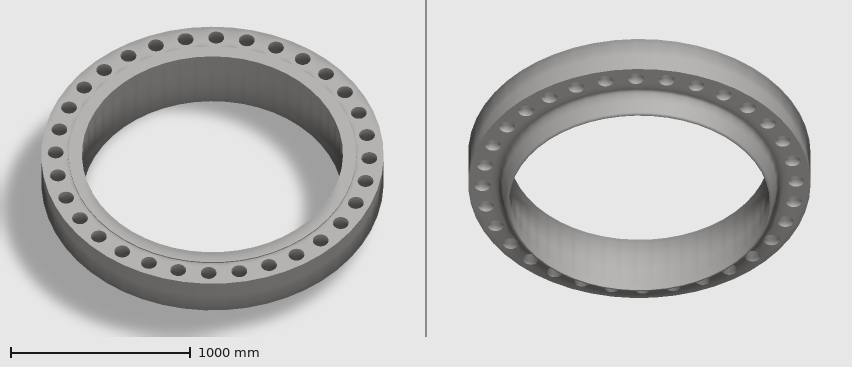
import cadquery as cq

flange_diameter = 1905.0
total_height = 377.0
bore_diameter = 1452.0

face_diameter = 1600.0
face_height = 8.0
flange_thickness = 225.0

hub_top_diameter = 1550.0
hub_bottom_diameter = 1478.0
hub_fillet = 13.0

bolt_count = 32
bolt_circle_diameter = 1745.0
bolt_hole_diameter = 88.0

flange_top = total_height - face_height
flange_bottom = flange_top - flange_thickness


def revolved_body():
    """Hub, flange and raised face as one ring around Z, with its base at Z = 0."""
    bore_radius = bore_diameter / 2
    flange_radius = flange_diameter / 2
    face_radius = face_diameter / 2
    profile = (
        cq.Workplane("XZ")
        .moveTo(bore_radius, 0)
        .lineTo(hub_bottom_diameter / 2, 0)
        .lineTo(hub_top_diameter / 2, flange_bottom)
        .lineTo(flange_radius, flange_bottom)
        .lineTo(flange_radius, flange_top)
        .lineTo(face_radius, flange_top)
        .lineTo(face_radius, total_height)
        .lineTo(bore_radius, total_height)
        .close()
    )
    return profile.revolve(360, (0, 0, 0), (0, 1, 0))


def round_hub(body):
    """Round the hub's outer bottom edge and its root under the flange."""
    bottom_edge = cq.selectors.RadiusNthSelector(1)
    root_edge = cq.selectors.RadiusNthSelector(2)
    return body.edges(bottom_edge + root_edge).fillet(hub_fillet)


def bolt_holes():
    """Through holes equally spaced on the bolt circle, the first one on +X."""
    return (
        cq.Workplane("XY")
        .polarArray(bolt_circle_diameter / 2, 0, 360, bolt_count)
        .circle(bolt_hole_diameter / 2)
        .extrude(total_height)
    )


result = round_hub(revolved_body()).cut(bolt_holes())